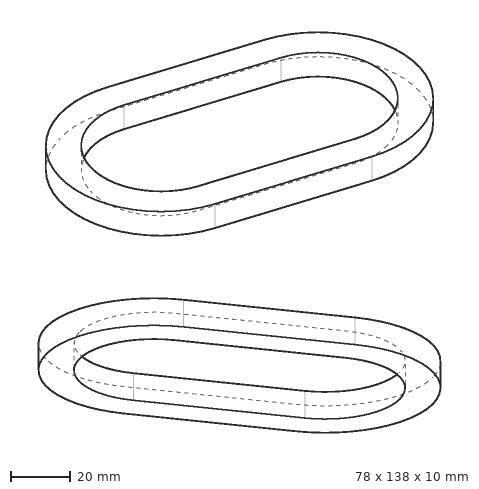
import cadquery as cq

outer_width = 78.0
outer_length = 138.0
wall = 12.0
thickness = 10.0

inner_width = outer_width - 2 * wall
inner_length = outer_length - 2 * wall


def stadium_plate(length, width):
    """Flat plate with semicircular ends, long axis along Y, resting on Z = 0."""
    return cq.Workplane("XY").slot2D(length, width, 90).extrude(thickness)


result = stadium_plate(outer_length, outer_width).cut(stadium_plate(inner_length, inner_width))